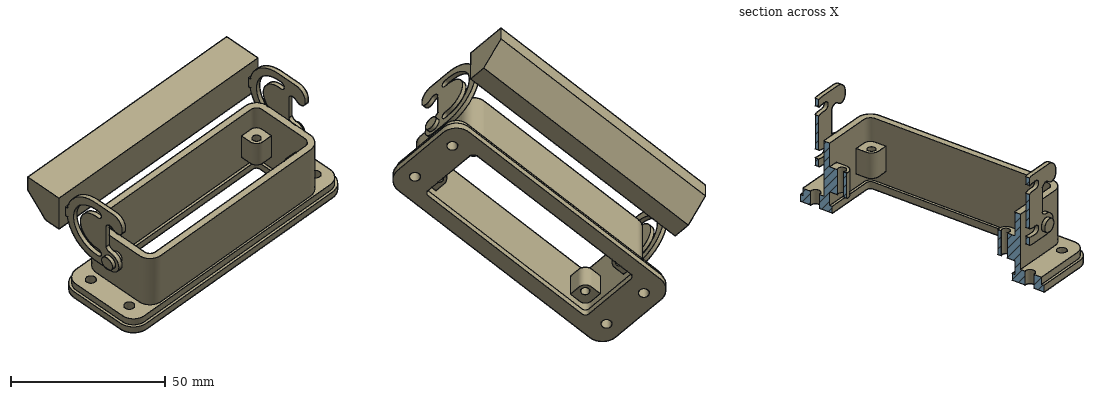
import cadquery as cq
import math


foot_length = 98.0
foot_width = 33.0
foot_corner_radius = 6.0
foot_height = 5.4
step_height = foot_height / 2
foot_step = 1.0
foot_hole_diameter = 3.5
foot_hole_x = 8.7
foot_hole_y = 43.1

body_length = 79.2
body_width = 29.5
body_height = 26.2
body_corner_radius = 5.0
wall = 2.45
ledge = 1.0

post_size = 6.9
post_radius = 2.9
post_top = 17.2
post_bottom = 7.6
post_hole_diameter = 2.9
post_hole_inset = 4.2

pin_z = 19.3
pin_diameter = 4.0
pin_head_diameter = 5.0
pin_end_y = 44.5

plate_thickness = 1.6
plate_inner_y = 41.6
plate_outer_y = plate_inner_y + plate_thickness
ring_x = -6.6
ring_z = 28.3
ring_diameter = 26.0
ring_radius = ring_diameter / 2
lever_top = ring_z + ring_radius
lever_bottom = ring_z - ring_radius
hub_radius = pin_z - lever_bottom
slot_outer_radius = 10.0
slot_inner_radius = 7.0
slot_end_x = -5.5
neck_x = -1.9

notch_radius = 2.0
notch_z = 33.3
hook_end_x = 5.5
hook_top_radius = 4.1
tip_radius = 2.3
tip_z = 36.2

bar_length = 92.1
bar_left = -34.5
bar_width = 14.2
bar_right = bar_left + bar_width
bar_bottom = 22.2
bar_top = 36.2
bar_chamfer = 8.0
stem_height = 3.9


def rounded_block(width, length, radius, bottom, top):
    """Upright block centred on the Z axis with rounded vertical edges."""
    block = cq.Workplane("XY").workplane(offset=bottom).rect(width, length).extrude(top - bottom)
    return block.edges("|Z").fillet(radius)


def cylinders(points, diameter, bottom, top):
    """Upright cylinders at the given X, Y points."""
    base = cq.Workplane("XY").workplane(offset=bottom).pushPoints(points)
    return base.circle(diameter / 2).extrude(top - bottom)


def corner_points(x, y):
    """The four points mirrored about both centre lines."""
    return [(sx * x, sy * y) for sx in (-1, 1) for sy in (-1, 1)]


def polar(center, radius, degrees):
    """Point on a circle at an angle from the first axis."""
    angle = math.radians(degrees)
    return (center[0] + radius * math.cos(angle), center[1] + radius * math.sin(angle))


def make_housing():
    """Foot and walls, open from top to bottom."""
    cavity_width = body_width - 2 * wall
    cavity_length = body_length - 2 * wall
    cavity_radius = body_corner_radius - wall

    housing = rounded_block(foot_width, foot_length, foot_corner_radius, 0, step_height)
    housing = housing.union(rounded_block(
        foot_width - 2 * foot_step, foot_length - 2 * foot_step,
        foot_corner_radius - foot_step, step_height, foot_height))
    housing = housing.union(rounded_block(
        body_width, body_length, body_corner_radius, step_height, body_height))

    cavity = rounded_block(cavity_width, cavity_length, cavity_radius, step_height, body_height)
    opening = rounded_block(
        cavity_width - 2 * ledge, cavity_length - 2 * ledge, cavity_radius - ledge, 0, step_height)
    housing = housing.cut(cavity).cut(opening)

    foot_holes = cylinders(corner_points(foot_hole_x, foot_hole_y), foot_hole_diameter, 0, foot_height)
    return housing.cut(foot_holes)


def make_posts():
    """Screw posts in the four cavity corners."""
    half_x = body_width / 2 - wall
    half_y = body_length / 2 - wall
    post = (
        cq.Workplane("XY").workplane(offset=post_bottom)
        .center(half_x - post_size / 2, half_y - post_size / 2)
        .rect(post_size, post_size).extrude(post_top - post_bottom)
        .edges("|Z and <X and <Y").fillet(post_radius)
    )
    posts = post.union(post.mirror("YZ"))
    posts = posts.union(posts.mirror("XZ"))
    hole_points = corner_points(half_x - post_hole_inset, half_y - post_hole_inset)
    return posts.cut(cylinders(hole_points, post_hole_diameter, post_bottom, post_top))


def make_side_plate():
    """Lever side plate with its ring, curved slot, pivot hub and catch hook."""
    hub_top = pin_z + hub_radius
    notch = (0, notch_z)
    tip = (hook_end_x - tip_radius, tip_z)
    hook = (hook_end_x - hook_top_radius, lever_top - hook_top_radius)

    spacing = math.hypot(tip[0] - notch[0], tip[1] - notch[1])
    direction = math.degrees(math.atan2(tip[1] - notch[1], tip[0] - notch[0]))
    touch = direction + math.degrees(math.acos((notch_radius + tip_radius) / spacing))
    neck_angle = math.degrees(math.acos(neck_x / notch_radius))
    hub_fillet = (0, hub_top + notch_radius)

    outline = (
        cq.Workplane("XZ", origin=(0, plate_outer_y, 0))
        .moveTo(ring_x, lever_top)
        .lineTo(hook[0], lever_top)
        .threePointArc(polar(hook, hook_top_radius, 45), (hook_end_x, hook[1]))
        .lineTo(hook_end_x, tip_z)
        .threePointArc(polar(tip, tip_radius, (touch - 180) / 2),
                       polar(tip, tip_radius, touch - 180))
        .lineTo(*polar(notch, notch_radius, touch))
        .threePointArc(polar(notch, notch_radius, (touch + neck_angle) / 2),
                       polar(notch, notch_radius, neck_angle))
        .lineTo(*polar(hub_fillet, notch_radius, -neck_angle))
        .threePointArc(polar(hub_fillet, notch_radius, -(neck_angle + 90) / 2), (0, hub_top))
        .threePointArc((hub_radius, pin_z), (0, lever_bottom))
        .lineTo(ring_x, lever_bottom)
        .threePointArc((ring_x - ring_radius, ring_z), (ring_x, lever_top))
        .close()
    )
    plate = outline.extrude(plate_thickness)

    slot_middle = (slot_outer_radius + slot_inner_radius) / 2
    slot_cap = (slot_outer_radius - slot_inner_radius) / 2
    slot = (
        cq.Workplane("XZ", origin=(0, plate_outer_y, 0))
        .moveTo(ring_x, ring_z + slot_outer_radius)
        .lineTo(slot_end_x, ring_z + slot_outer_radius)
        .threePointArc((slot_end_x + slot_cap, ring_z + slot_middle), (slot_end_x, ring_z + slot_inner_radius))
        .lineTo(ring_x, ring_z + slot_inner_radius)
        .threePointArc((ring_x - slot_inner_radius, ring_z), (ring_x, ring_z - slot_inner_radius))
        .lineTo(slot_end_x, ring_z - slot_inner_radius)
        .threePointArc((slot_end_x + slot_cap, ring_z - slot_middle), (slot_end_x, ring_z - slot_outer_radius))
        .lineTo(ring_x, ring_z - slot_outer_radius)
        .threePointArc((ring_x - slot_outer_radius, ring_z), (ring_x, ring_z + slot_outer_radius))
        .close()
        .extrude(plate_thickness)
    )

    stem_end = ring_x - (ring_radius + slot_outer_radius) / 2
    stem = (
        cq.Workplane("XZ", origin=(0, plate_outer_y, 0))
        .center((bar_right + stem_end) / 2, ring_z)
        .rect(stem_end - bar_right, stem_height)
        .extrude(plate_thickness)
    )
    return plate.union(stem).cut(slot)


def make_pin():
    """Pivot pin set in the end wall, with a head outside the side plate."""
    shaft_start = body_length / 2 - wall / 2
    shaft = (
        cq.Workplane("XZ", origin=(0, plate_outer_y, pin_z))
        .circle(pin_diameter / 2).extrude(plate_outer_y - shaft_start)
    )
    head = (
        cq.Workplane("XZ", origin=(0, pin_end_y, pin_z))
        .circle(pin_head_diameter / 2).extrude(pin_end_y - plate_outer_y)
    )
    return shaft.union(head)


def make_bar():
    """Handle bar with its lower outer edge cut off."""
    return (
        cq.Workplane("XZ", origin=(0, bar_length / 2, 0))
        .moveTo(bar_left, bar_top)
        .lineTo(bar_right, bar_top)
        .lineTo(bar_right, bar_bottom)
        .lineTo(bar_left + bar_chamfer, bar_bottom)
        .lineTo(bar_left, bar_bottom + bar_chamfer)
        .close()
        .extrude(bar_length)
    )


lever_end = make_side_plate().union(make_pin())
result = (
    make_housing()
    .union(make_posts())
    .union(lever_end)
    .union(lever_end.mirror("XZ"))
    .union(make_bar())
)